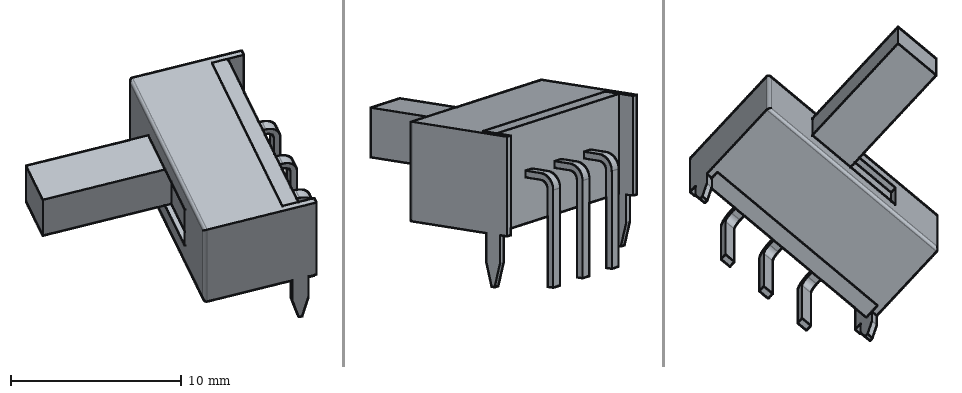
import cadquery as cq


OVERALL_DEPTH = 15.6

WIDTH = 13.3
HEIGHT = 6.0
SHEET = 0.39
SIDE_DEPTH = 7.0
ROOF_DEPTH = 5.0
FRONT_ROUND = 0.2
MID_HEIGHT = HEIGHT / 2

WINDOW_WIDTH = 6.5
SLIDER_SIZE = 3.0
SLIDER_REACH = 7.6

LEG_WIDTH = 1.0
LEG_BACK_INSET = 0.5
LEG_STRAIGHT = 1.7
LEG_LENGTH = 3.18
LEG_TIP_WIDTH = 0.22
LEG_CENTER_Y = SIDE_DEPTH - LEG_BACK_INSET - LEG_WIDTH / 2

BASE_BACK = 6.0

PIN_COUNT = 3
PIN_PITCH = 3.0
PIN_WIDTH = 0.7
PIN_THICKNESS = 0.4
PIN_BEND_RADIUS = 0.9
PIN_DROP = 3.59
PIN_BACK = OVERALL_DEPTH - SLIDER_REACH


def block(width, y_front, y_back, height):
    """Box centred in X and about the middle height, spanning two Y positions."""
    return (
        cq.Workplane("XY")
        .box(width, y_back - y_front, height, centered=(True, False, True))
        .translate((0, y_front, MID_HEIGHT))
    )


def make_leg(x_start):
    """Pointed leg, one sheet thick, hanging from a side wall."""
    half_width = LEG_WIDTH / 2
    half_tip = LEG_TIP_WIDTH / 2
    return (
        cq.Workplane("YZ", origin=(x_start, LEG_CENTER_Y, 0))
        .moveTo(-half_width, SHEET)
        .lineTo(-half_width, -LEG_STRAIGHT)
        .lineTo(-half_tip, -LEG_LENGTH)
        .lineTo(half_tip, -LEG_LENGTH)
        .lineTo(half_width, -LEG_STRAIGHT)
        .lineTo(half_width, SHEET)
        .close()
        .extrude(SHEET)
    )


def make_shell():
    inner_width = WIDTH - 2 * SHEET
    shell = block(WIDTH, 0, SIDE_DEPTH, HEIGHT).faces("<Y").edges().fillet(FRONT_ROUND)
    shell = shell.cut(block(inner_width, SHEET, SIDE_DEPTH, HEIGHT - 2 * SHEET))
    shell = shell.cut(block(inner_width, ROOF_DEPTH, SIDE_DEPTH, HEIGHT))
    shell = shell.cut(block(WINDOW_WIDTH, 0, SHEET, SLIDER_SIZE))
    for x_start in (-WIDTH / 2, WIDTH / 2 - SHEET):
        shell = shell.union(make_leg(x_start))
    return shell


def make_base():
    """Block filling the shell, with a full-height plate behind the top and bottom walls."""
    inner_width = WIDTH - 2 * SHEET
    core = block(inner_width, SHEET, BASE_BACK, HEIGHT - 2 * SHEET)
    back_plate = block(inner_width, ROOF_DEPTH, BASE_BACK, HEIGHT)
    return core.union(back_plate)


def make_slider():
    """Square bar at the -X end of the window, resting on the base."""
    slider_x = (SLIDER_SIZE - WINDOW_WIDTH) / 2
    return block(SLIDER_SIZE, -SLIDER_REACH, SHEET, SLIDER_SIZE).translate((slider_x, 0, 0))


def make_pin(x_center):
    """Flat pin leaving the base at mid height and bending down."""
    top = MID_HEIGHT + PIN_THICKNESS / 2
    bend_y = PIN_BACK - PIN_BEND_RADIUS
    bend_z = top - PIN_BEND_RADIUS
    inner_radius = PIN_BEND_RADIUS - PIN_THICKNESS
    return (
        cq.Workplane("YZ", origin=(x_center, 0, 0))
        .moveTo(BASE_BACK, top)
        .lineTo(bend_y, top)
        .radiusArc((PIN_BACK, bend_z), PIN_BEND_RADIUS)
        .lineTo(PIN_BACK, -PIN_DROP)
        .lineTo(PIN_BACK - PIN_THICKNESS, -PIN_DROP)
        .lineTo(PIN_BACK - PIN_THICKNESS, bend_z)
        .radiusArc((bend_y, top - PIN_THICKNESS), -inner_radius)
        .lineTo(BASE_BACK, top - PIN_THICKNESS)
        .close()
        .extrude(PIN_WIDTH / 2, both=True)
    )


shell = make_shell()
base = make_base()
slider = make_slider()
pins = [make_pin((i - (PIN_COUNT - 1) / 2) * PIN_PITCH) for i in range(PIN_COUNT)]

result = cq.Compound.makeCompound(
    [shell.val(), base.val(), slider.val(), *[pin.val() for pin in pins]]
)